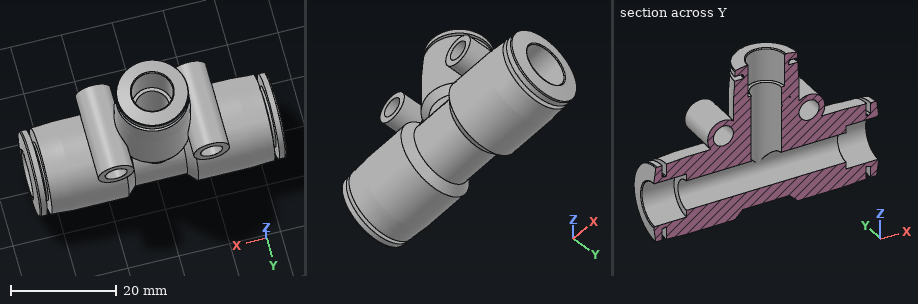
import cadquery as cq

RUN_HALF_LENGTH = 24.7
BRANCH_TOP = 25.2
THROUGH_BORE_DIA = 6.5

RIM_EDGE = 0.45
RIM_CORNER = 0.75
COLLAR_BACK = 1.9
NECK_FLARE_START = 2.35
BODY_START = 2.75
MOUTH_BAND_END = 4.25
TAPER_END = 7.2
SOCKET_DEPTH = 7.2
BORE_CHAMFER = 0.2
RIM_INSET = 0.1
NECK_FLARE = 0.2
MOUTH_FLARE = 0.05

RUN_BODY_DIA = 17.5
RUN_MOUTH_DIA = 17.0
RUN_COLLAR_DIA = 16.8
RUN_NECK_DIA = 11.5
RUN_SOCKET_DIA = 9.55
RUN_WAIST_DIA = 14.0
RUN_WAIST_HALF_LENGTH = 5.1

BRANCH_BODY_DIA = 14.5
BRANCH_MOUTH_DIA = 14.0
BRANCH_COLLAR_DIA = 13.8
BRANCH_NECK_DIA = 9.95
BRANCH_SOCKET_DIA = 7.95
BRANCH_STUB_DIA = 11.5
BRANCH_STUB_TOP = 6.5

LUG_DIA = 7.0
LUG_HOLE_DIA = 4.3
LUG_X = 9.4
LUG_Z = 10.85


def port_solid(length, socket_dia, collar_dia, neck_dia, mouth_dia, body_dia, base_dia, base_height):
    """Push-in port revolved about Z, from the origin up to its face at the given length.

    The body narrows to the base diameter through a 45 degree cone ending at base_height.
    """
    body_bottom = base_height + (body_dia - base_dia) / 2
    outline = [
        (0, 0),
        (base_dia / 2, 0),
        (base_dia / 2, base_height),
        (body_dia / 2, body_bottom),
        (body_dia / 2, length - TAPER_END),
        (mouth_dia / 2 + MOUTH_FLARE, length - MOUTH_BAND_END),
        (mouth_dia / 2, length - BODY_START),
        (neck_dia / 2, length - BODY_START),
        (neck_dia / 2, length - NECK_FLARE_START),
        (neck_dia / 2 + NECK_FLARE, length - COLLAR_BACK),
        (collar_dia / 2, length - COLLAR_BACK),
        (collar_dia / 2, length - RIM_CORNER),
        (collar_dia / 2 - RIM_INSET, length - RIM_EDGE),
        (socket_dia / 2 + BORE_CHAMFER, length),
        (0, length),
    ]
    return cq.Workplane("XZ").polyline(outline).close().revolve(360, (0, 0), (0, 1))


def port_bore(length, socket_dia):
    """Tube socket with a chamfered mouth, above the narrower through bore."""
    outline = [
        (0, 0),
        (THROUGH_BORE_DIA / 2, 0),
        (THROUGH_BORE_DIA / 2, length - SOCKET_DEPTH),
        (socket_dia / 2, length - SOCKET_DEPTH),
        (socket_dia / 2, length - BORE_CHAMFER),
        (socket_dia / 2 + BORE_CHAMFER, length),
        (0, length),
    ]
    return cq.Workplane("XZ").polyline(outline).close().revolve(360, (0, 0), (0, 1))


def lug_cylinder(x, diameter):
    """Cylinder along Y, as wide as the run body, on a lug axis."""
    return (
        cq.Workplane("XZ")
        .center(x, LUG_Z)
        .circle(diameter / 2)
        .extrude(RUN_BODY_DIA / 2, both=True)
    )


solid = port_solid(
    BRANCH_TOP, BRANCH_SOCKET_DIA, BRANCH_COLLAR_DIA, BRANCH_NECK_DIA,
    BRANCH_MOUTH_DIA, BRANCH_BODY_DIA, BRANCH_STUB_DIA, BRANCH_STUB_TOP,
)
run_port = port_solid(
    RUN_HALF_LENGTH, RUN_SOCKET_DIA, RUN_COLLAR_DIA, RUN_NECK_DIA,
    RUN_MOUTH_DIA, RUN_BODY_DIA, RUN_WAIST_DIA, RUN_WAIST_HALF_LENGTH,
)
run_bore = port_bore(RUN_HALF_LENGTH, RUN_SOCKET_DIA)
bores = port_bore(BRANCH_TOP, BRANCH_SOCKET_DIA)
for angle in (-90, 90):
    solid = solid.union(run_port.rotate((0, 0, 0), (0, 1, 0), angle))
    bores = bores.union(run_bore.rotate((0, 0, 0), (0, 1, 0), angle))

for x in (-LUG_X, LUG_X):
    solid = solid.union(lug_cylinder(x, LUG_DIA))

web = cq.Workplane("XY").box(2 * LUG_X, LUG_DIA, LUG_Z, centered=(True, True, False))
solid = solid.union(web)

for x in (-LUG_X, LUG_X):
    solid = solid.cut(lug_cylinder(x, LUG_HOLE_DIA))

result = solid.cut(bores)